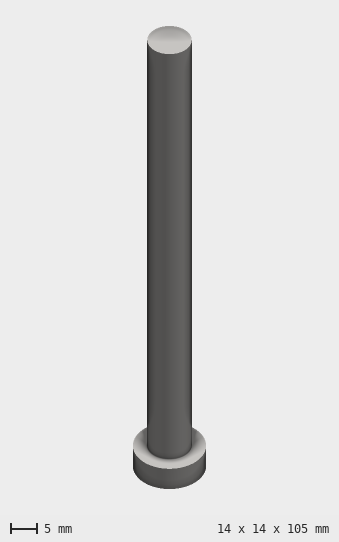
import cadquery as cq

overall_length = 105.0
head_diameter = 14.0
head_thickness = 5.0
shank_diameter = 8.5
root_fillet_radius = 0.2

shank_radius = shank_diameter / 2
head_radius = head_diameter / 2


def half_profile():
    """Half section in the XZ plane: flat head at the bottom, shank with a root fillet above it."""
    return (
        cq.Workplane("XZ")
        .lineTo(head_radius, 0)
        .lineTo(head_radius, head_thickness)
        .lineTo(shank_radius + root_fillet_radius, head_thickness)
        .radiusArc((shank_radius, head_thickness + root_fillet_radius), root_fillet_radius)
        .lineTo(shank_radius, overall_length)
        .lineTo(0, overall_length)
        .close()
    )


result = half_profile().revolve(360, (0, 0, 0), (0, 1, 0))